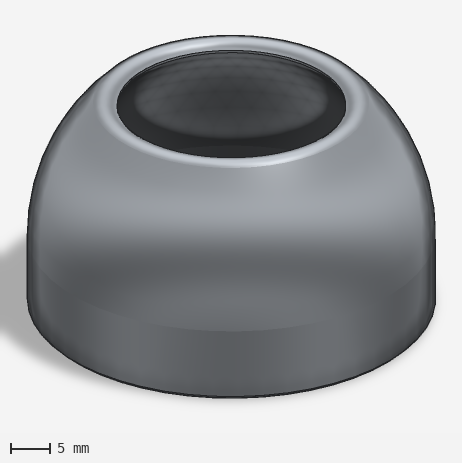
import cadquery as cq
import math

outer_radius = 26.15
inner_diameter = 47.1
inner_radius = inner_diameter / 2
height = 29.75
skirt_height = 10.0
bottom_chamfer = 0.5
opening_radius = 14.65
rim_round = 2.0


def dome_point(radius, angle):
    """Profile point on a dome sphere at an elevation angle from its centre."""
    return (radius * math.cos(angle), skirt_height + radius * math.sin(angle))


rim_center_height = height - rim_round
rim_center_rise = rim_center_height - skirt_height
rim_center_x = math.sqrt((outer_radius - rim_round)**2 - rim_center_rise**2)
tangent_angle = math.atan2(rim_center_rise, rim_center_x)

lip_angle = math.acos(opening_radius / inner_radius)
lip_offset = rim_center_x - opening_radius
lip_top = rim_center_height + math.sqrt(rim_round**2 - lip_offset**2)

profile = (
    cq.Workplane("XZ")
    .moveTo(inner_radius, 0)
    .lineTo(outer_radius - bottom_chamfer, 0)
    .lineTo(outer_radius, bottom_chamfer)
    .lineTo(outer_radius, skirt_height)
    .threePointArc(dome_point(outer_radius, tangent_angle / 2), dome_point(outer_radius, tangent_angle))
    .threePointArc((rim_center_x, height), (opening_radius, lip_top))
    .lineTo(*dome_point(inner_radius, lip_angle))
    .threePointArc(dome_point(inner_radius, lip_angle / 2), (inner_radius, skirt_height))
    .close()
)

result = profile.revolve(360, (0, 0, 0), (0, 1, 0))